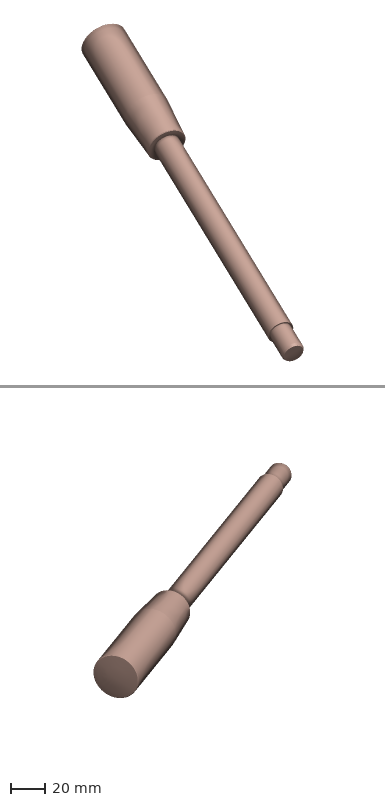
import cadquery as cq
import math

total_length = 268.0
grip_radius = 14.06
grip_straight_length = 61.3
grip_length = 90.0
grip_tip_radius = 12.0
grip_rim_chamfer = 0.4
grip_dome_height = 0.8
grip_tip_chamfer = 0.4
rod_radius = 8.0
spigot_length = 18.2
spigot_radius = 7.0
spigot_chamfer_length = 1.5
spigot_chamfer_depth = 0.8

grip_end = -total_length / 2
taper_start = grip_end + grip_straight_length
grip_tip = grip_end + grip_length
spigot_end = total_length / 2
spigot_start = spigot_end - spigot_length

dome_base = grip_end + grip_dome_height
dome_rim_radius = grip_radius - grip_rim_chamfer
dome_sphere_radius = (dome_rim_radius**2 + grip_dome_height**2) / (2 * grip_dome_height)
dome_half_angle = math.asin(dome_rim_radius / dome_sphere_radius)
dome_middle = (
    grip_end + dome_sphere_radius * (1 - math.cos(dome_half_angle / 2)),
    dome_sphere_radius * math.sin(dome_half_angle / 2),
)

profile = (
    cq.Workplane("XY")
    .moveTo(grip_end, 0)
    .threePointArc(dome_middle, (dome_base, dome_rim_radius))
    .lineTo(dome_base + grip_rim_chamfer, grip_radius)
    .lineTo(taper_start, grip_radius)
    .lineTo(grip_tip - grip_tip_chamfer, grip_tip_radius)
    .lineTo(grip_tip, grip_tip_radius - grip_tip_chamfer)
    .lineTo(grip_tip, rod_radius)
    .lineTo(spigot_start, rod_radius)
    .lineTo(spigot_start, spigot_radius)
    .lineTo(spigot_end - spigot_chamfer_length, spigot_radius)
    .lineTo(spigot_end, spigot_radius - spigot_chamfer_depth)
    .lineTo(spigot_end, 0)
    .close()
)
result = profile.revolve(360, (0, 0, 0), (1, 0, 0))